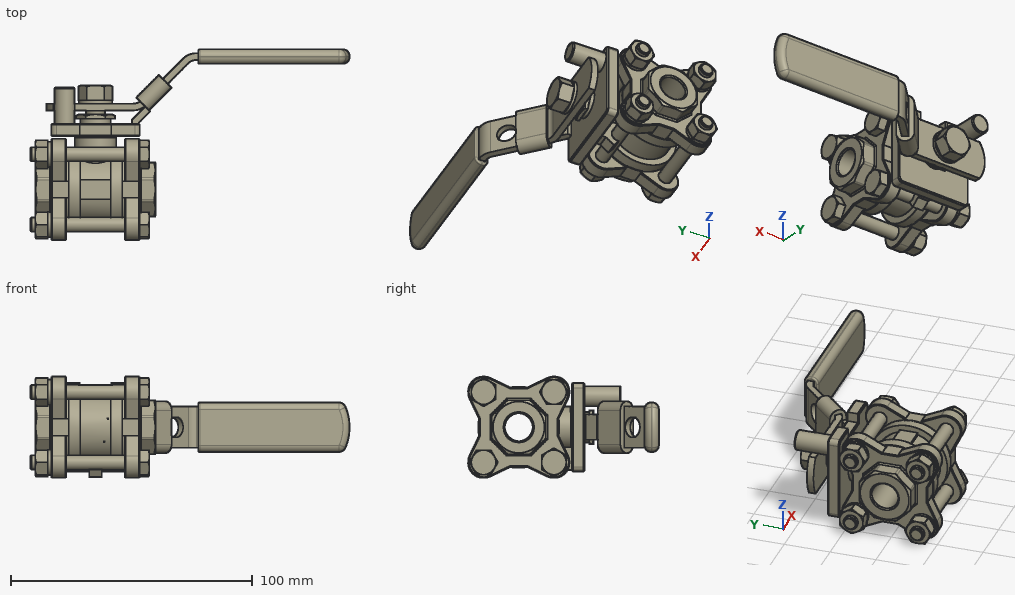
import cadquery as cq
import math


flange_outer = 18.2
flange_thick = 6.1
flange_inner = flange_outer - flange_thick
flange_edge = 0.4
bolt_offset = 14.5
lobe_radius = 6.5
waist_half = 16.4
waist_flat_half = 3.4
cap_end = 25.0
octagon_flats = 22.5
octagon_corner = 1.3
octagon_foot = 0.7
foot_taper = 45.0
cap_face_dia = 21.3
cap_rim_length = 0.8
bore_dia = 11.5
bore_mouth_dia = 12.7

ring_dia = 33.7
ring_inner = 6.2
ring_outer = 11.0
hub_dia = 32.0
barrel_dia = 27.7
pad_half_width = 4.0
pad_height = 14.3

rod_dia = 6.0
rod_tip = 26.9
tip_chamfer = 0.5
washer_dia = 10.5
washer_thick = 1.5
bolt_hex_flats = 10.2
nut_end = 25.0
head_end = 22.3
hex_chamfer_angle = 30.0

plate_bottom = 21.9
plate_top = 27.2
plate_half = 18.3
plate_corner = 2.1
plate_edge = 0.5
notch_half_width = 6.5
notch_depth = 4.2
lug_width = 5.3
lug_drop = 20.6
lug_tip_y = 16.4
lug_root_y = 11.9
lug_shoulder_y = 20.0
lug_shoulder_drop = 17.7
pin_dia = 8.5
pin_offset = 12.8
pin_top = 42.2
pin_chamfer = 0.5

boss_dia = 17.3
boss_top = 21.4
gland_dia = 12.7
gland_top = 29.2
lock_hex_flats = 14.0
lock_hex_top = 31.0
stem_dia = 8.0
spring_washer_dia = 14.0
spring_washer_thick = 1.3
stem_nut_flats = 12.3
stem_nut_height = 6.2

arm_thick = 2.9
arm_width = 17.2
ramp_angle = 45.0
bend_shift = arm_thick / 2 * math.tan(math.radians(ramp_angle / 2))
arm_y = 34.0
arm_start = -20.3
arm_end_sag = 2.8
arm_bend_x = 18.2
bend_inner_radius = 4.9
grip_thick = 6.1
grip_top = 58.0
grip_y = grip_top - grip_thick / 2
grip_start = 42.4
grip_end = 105.1
grip_half_width = 10.3
grip_end_sag = 2.6
grip_corner = 3.2
grip_edge = 2.9
grip_start_edge = 0.8
hole_dia = 8.5
hole_x = 32.2
sleeve_length = 13.2
sleeve_thick = 7.5
sleeve_width = 21.5
sleeve_x = 24.2
foot_x = 16.5
foot_width = 10.5


def rod_x(dia, x_start, x_end, y=0.0, z=0.0):
    """Cylinder parallel to X."""
    wp = cq.Workplane("YZ", origin=(x_start, 0, 0)).center(y, z)
    return wp.circle(dia / 2).extrude(x_end - x_start)


def rod_y(dia, y_start, y_end, x=0.0, z=0.0):
    """Cylinder parallel to Y."""
    wp = cq.Workplane("XZ", origin=(x, y_start, z))
    return wp.circle(dia / 2).extrude(y_start - y_end)


def chamfered_hex(flats, height):
    """Hexagon along +Z with corners on local X and its corners turned off at the free end."""
    corner_dia = flats / math.cos(math.pi / 6)
    inset = (corner_dia - flats) / 2
    drop = inset * math.tan(math.radians(hex_chamfer_angle))
    hexagon = cq.Workplane("XY").polygon(6, corner_dia).extrude(height)
    limit = cq.Workplane("XY").circle(corner_dia / 2).extrude(height)
    limit = limit.faces(">Z").chamfer(drop, inset)
    return hexagon.intersect(limit)


def flange_outline(wp):
    """Four round lobes joined by straight flanks to flat waists."""
    dy = bolt_offset - waist_flat_half
    dz = bolt_offset - waist_half
    distance = math.hypot(dy, dz)
    flank = math.sqrt(distance**2 - lobe_radius**2)
    angle = math.atan2(dz, dy) + math.asin(lobe_radius / distance)
    touch_y = waist_flat_half + flank * math.cos(angle)
    touch_z = waist_half + flank * math.sin(angle)
    crown = bolt_offset + lobe_radius / math.sqrt(2)

    def turned(y, z, quarter):
        for _ in range(quarter):
            y, z = z, -y
        return y, z

    wp = wp.moveTo(-waist_flat_half, waist_half)
    for quarter in range(4):
        wp = wp.lineTo(*turned(waist_flat_half, waist_half, quarter))
        wp = wp.lineTo(*turned(touch_y, touch_z, quarter))
        wp = wp.threePointArc(turned(crown, crown, quarter), turned(touch_z, touch_y, quarter))
        wp = wp.lineTo(*turned(waist_half, waist_flat_half, quarter))
    return wp.close()


def end_cap():
    """Lobed flange with an octagonal socket, on the +X side."""
    flange = flange_outline(cq.Workplane("YZ", origin=(flange_inner, 0, 0))).extrude(flange_thick)
    flange = flange.faces("<X or >X").edges().chamfer(flange_edge)

    def octagon(x, flats):
        corner_dia = flats / math.cos(math.pi / 8)
        return cq.Workplane("YZ", origin=(x, 0, 0)).transformed(rotate=(0, 0, 180 / 8)).polygon(8, corner_dia)

    socket = octagon(flange_outer, octagon_flats).extrude(cap_end - flange_outer)
    socket = socket.edges("|X").fillet(octagon_corner)
    corner_dia = octagon_flats / math.cos(math.pi / 8)
    rim = rod_x(corner_dia, flange_outer, cap_end)
    rim = rim.faces(">X").chamfer(cap_rim_length, (corner_dia - cap_face_dia) / 2)
    socket = socket.intersect(rim)
    foot = octagon(flange_outer, octagon_flats + 2 * octagon_foot).extrude(octagon_foot, taper=foot_taper)
    return flange.union(socket).union(foot)


def body():
    """Barrel with a ring at each end, joined to the flanges by hubs and waist blocks."""
    solid = rod_x(barrel_dia, -ring_outer, ring_outer)
    waist_end = flange_outer - flange_edge
    waist_span = 2 * waist_half
    for side in (-1, 1):
        solid = solid.union(rod_x(ring_dia, side * ring_inner, side * ring_outer))
        solid = solid.union(rod_x(hub_dia, side * ring_outer, side * flange_inner))
        blocks = cq.Workplane("YZ", origin=(side * ring_outer, 0, 0))
        for width, height in ((waist_span, 2 * waist_flat_half), (2 * waist_flat_half, waist_span)):
            solid = solid.union(blocks.rect(width, height).extrude(side * (waist_end - ring_outer)))
    pad = cq.Workplane("XY").rect(2 * ring_inner, 2 * pad_half_width).extrude(pad_height)
    return solid.union(pad)


def bore():
    mouth = (bore_mouth_dia - bore_dia) / 2
    hole = rod_x(bore_dia, -cap_end, cap_end)
    for side in (-1, 1):
        cone = cq.Solid.makeCone(
            bore_mouth_dia / 2, bore_dia / 2, mouth, cq.Vector(side * cap_end, 0, 0), cq.Vector(-side, 0, 0)
        )
        hole = hole.union(cq.Workplane(cone))
    return hole


def bolt(y, z, spin):
    """Bolt with its head on +X and a washer and nut on -X."""
    shank = rod_x(rod_dia, -rod_tip, flange_outer).faces("<X").chamfer(tip_chamfer)
    washer_start = -flange_outer - washer_thick
    washer = rod_x(washer_dia, washer_start, -flange_outer)
    head = chamfered_hex(bolt_hex_flats, head_end - flange_outer)
    head = head.rotate((0, 0, 0), (0, 1, 0), 90).translate((flange_outer, 0, 0))
    nut = chamfered_hex(bolt_hex_flats, nut_end + washer_start)
    nut = nut.rotate((0, 0, 0), (0, 1, 0), -90).translate((washer_start, 0, 0))
    parts = shank.union(washer).union(head).union(nut)
    return parts.rotate((0, 0, 0), (1, 0, 0), spin).translate((0, y, z))


def mounting_plate():
    side = 2 * plate_half
    plate = cq.Workplane("XZ", origin=(0, plate_bottom, 0)).rect(side, side).extrude(plate_bottom - plate_top)
    plate = plate.edges("|Y").fillet(plate_corner)
    notch = cq.Workplane("XY").box(2 * notch_half_width, side, 2 * notch_depth)
    plate = plate.cut(notch.translate((0, plate_bottom, plate_half)))
    return plate.faces("<Y or >Y").edges().chamfer(plate_edge)


def lug():
    """Small lug below the plate, beside the stem boss."""
    outline = [
        (plate_bottom, 0),
        (plate_bottom, -lug_shoulder_drop),
        (lug_shoulder_y, -lug_shoulder_drop),
        (lug_tip_y, -lug_drop),
        (lug_root_y, -bolt_offset),
        (lug_root_y, 0),
    ]
    return cq.Workplane("YZ").polyline(outline).close().extrude(lug_width / 2, both=True)


def stop_pin():
    return rod_y(pin_dia, plate_bottom, pin_top, -pin_offset, pin_offset).faces(">Y").chamfer(pin_chamfer)


def stem():
    nut_start = arm_y + arm_thick / 2 + spring_washer_thick
    solid = rod_y(boss_dia, 0, boss_top)
    solid = solid.union(rod_y(gland_dia, boss_top, gland_top))
    solid = solid.union(rod_y(stem_dia, plate_bottom, nut_start))
    solid = solid.union(rod_y(spring_washer_dia, nut_start - spring_washer_thick, nut_start))
    lock_hex = chamfered_hex(lock_hex_flats, lock_hex_top - gland_top)
    nut = chamfered_hex(stem_nut_flats, stem_nut_height)
    for hexagon, start in ((lock_hex, gland_top), (nut, nut_start)):
        solid = solid.union(hexagon.rotate((0, 0, 0), (1, 0, 0), -90).translate((0, start, 0)))
    return solid


def ramp_y(x):
    """Height of the lever's centre line on its 45 degree ramp."""
    return arm_y + x - arm_bend_x


def lever_arm():
    half = arm_thick / 2
    upper_bend_x = arm_bend_x + grip_y - arm_y
    grip_inside = grip_start + grip_thick
    outline = [
        (arm_start, arm_y - half),
        (arm_bend_x + bend_shift, arm_y - half),
        (upper_bend_x + bend_shift, grip_y - half),
        (grip_inside, grip_y - half),
        (grip_inside, grip_y + half),
        (upper_bend_x - bend_shift, grip_y + half),
        (arm_bend_x - bend_shift, arm_y + half),
        (arm_start, arm_y + half),
    ]
    arm = cq.Workplane("XY").polyline(outline).close().extrude(arm_width / 2, both=True)
    for bend_x, bend_y, side in ((arm_bend_x, arm_y, 1), (upper_bend_x, grip_y, -1)):
        for offset in (-half, half):
            inner = offset * side > 0
            radius = bend_inner_radius if inner else bend_inner_radius + arm_thick
            corner = (bend_x - math.copysign(bend_shift, offset), bend_y + offset, 0)
            arm = arm.edges(cq.selectors.NearestToPointSelector(corner)).fillet(radius)

    end = (
        cq.Workplane("XZ")
        .moveTo(arm_start + arm_end_sag, -arm_width / 2)
        .threePointArc((arm_start, 0), (arm_start + arm_end_sag, arm_width / 2))
        .lineTo(grip_inside, arm_width / 2)
        .lineTo(grip_inside, -arm_width / 2)
        .close()
        .extrude(-grip_top)
    )
    ramp_hole = rod_y(hole_dia, -grip_thick, grip_thick).rotate((0, 0, 0), (0, 0, 1), ramp_angle)
    return arm.intersect(end).cut(ramp_hole.translate((hole_x, ramp_y(hole_x), 0)))


def grip():
    shoulder = grip_end - grip_end_sag
    solid = (
        cq.Workplane("XZ", origin=(0, grip_y + grip_thick / 2, 0))
        .moveTo(grip_start, -grip_half_width)
        .lineTo(shoulder, -grip_half_width)
        .threePointArc((grip_end, 0), (shoulder, grip_half_width))
        .lineTo(grip_start, grip_half_width)
        .close()
        .extrude(grip_thick)
    )
    solid = solid.edges("|Y").edges(">X").fillet(grip_corner)
    solid = solid.faces("<Y or >Y").edges("not <X").fillet(grip_edge)
    return solid.faces("<X").edges().fillet(grip_start_edge)


def lock_sleeve():
    """Flat-oval sleeve around the ramp."""
    sleeve = cq.Workplane("YZ").slot2D(sleeve_width, sleeve_thick, 90).extrude(sleeve_length / 2, both=True)
    sleeve = sleeve.rotate((0, 0, 0), (0, 0, 1), ramp_angle)
    return sleeve.translate((sleeve_x, ramp_y(sleeve_x), 0))


def lock_foot():
    """Strip under the ramp from the sleeve's lower end, bent down onto the plate."""
    half = arm_thick / 2
    drop = arm_thick * math.sqrt(2)
    bend_y = ramp_y(foot_x) - drop
    sleeve_end_x = sleeve_x - sleeve_length / 2 / math.sqrt(2)
    end_x = sleeve_end_x + drop / 2
    end_y = ramp_y(sleeve_end_x) - drop / 2
    end_shift = half / math.sqrt(2)
    outline = [
        (foot_x - half, plate_top - plate_edge),
        (foot_x - half, bend_y + bend_shift),
        (end_x - end_shift, end_y + end_shift),
        (end_x + end_shift, end_y - end_shift),
        (foot_x + half, bend_y - bend_shift),
        (foot_x + half, plate_top - plate_edge),
    ]
    return cq.Workplane("XY").polyline(outline).close().extrude(foot_width / 2, both=True)


cap = end_cap()
valve = body().union(cap).union(cap.mirror("YZ")).union(stem()).cut(bore())
for y_side in (-1, 1):
    for z_side in (-1, 1):
        spin = 90 if y_side == z_side else 180
        valve = valve.union(bolt(y_side * bolt_offset, z_side * bolt_offset, spin))
for piece in (mounting_plate(), lug(), stop_pin(), lever_arm(), grip(), lock_sleeve(), lock_foot()):
    valve = valve.union(piece)

result = valve